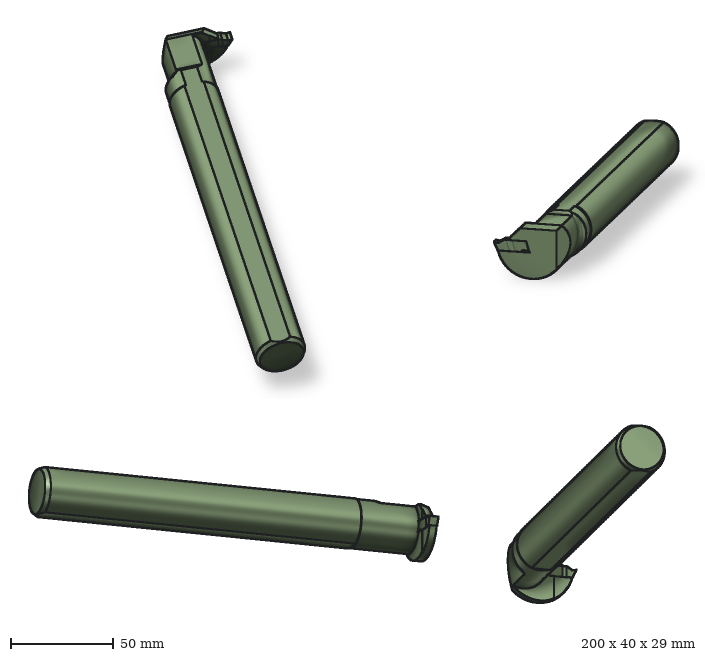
import cadquery as cq
import math

LENGTH = 200.0
WIDTH = 40.0

SHANK_RADIUS = 25.0 / 2
ACROSS_FLATS = 23.0
FLAT_HEIGHT = ACROSS_FLATS / 2
END_CHAMFER_LENGTH = 2.5
END_CHAMFER_DEPTH = 1.5

NECK_RADIUS = 12.2
NECK_END = 34.5
STEP_LENGTH = 0.5
NECK_TOP = 9.8
SHOULDER_START = 22.8
SHOULDER_END = 30.0
SHOULDER_FILLET = 3.0
SHOULDER_FILLET_ANGLE = 60
TOP_SLOPE_LENGTH = 2.2

FACE_X = 0.2
TIP_Y = WIDTH - SHANK_RADIUS
HEAD_RADIUS = 35.0 / 2
HEAD_SIDE_Y = -9.0
HEAD_CENTRE_Y = HEAD_SIDE_Y + HEAD_RADIUS
BLADE_THICKNESS = 4.5
THIN_BLADE_THICKNESS = 4.0
THIN_BLADE_START_Y = 16.0
BEVEL_LENGTH = 3.5
BEVEL_ANGLE = 30
SIDE_BEVEL_DEPTH = 4.8
SLOPE_TOP_Y = 12.5

INSERT_TOP = 1.5
INSERT_BOTTOM = -4.2
INSERT_WIDTH = 4.5
TIP_Z = 0.0
GROOVE_Y = 25.5
GROOVE_Z = -0.5
GROOVE_END_Y = 22.5
FRONT_BOTTOM_Y = HEAD_CENTRE_Y + math.sqrt(HEAD_RADIUS**2 - INSERT_BOTTOM**2)
INSERT_BACK_TOP_Y = 11.2
INSERT_BACK_BOTTOM_Y = 9.8
RELIEF_Z = -3.2
RELIEF_START_Y = 13.8
RELIEF_END_Y = 12.8
SEAT_BACK_Y = 9.5
FACE_RECESS = 0.3
BACK_WIDTH = 4.0
TAPER_START_Y = 21.2
TAPER_END_Y = 18.5
TAPER_LEAN = 1.8
BACK_TAPER_START_Y = 22.5
BACK_TAPER_END_Y = 20.5

CLEARANCE = 80.0


def cylinder_x(radius, x_start, x_end):
    return cq.Workplane("YZ", origin=(x_start, 0, 0)).circle(radius).extrude(x_end - x_start)


def make_bar():
    """Shank and neck turned in one profile, with a flat above and one below the shank."""
    bar = (
        cq.Workplane("XZ")
        .moveTo(0, 0)
        .lineTo(0, NECK_RADIUS)
        .lineTo(NECK_END, NECK_RADIUS)
        .lineTo(NECK_END + STEP_LENGTH, SHANK_RADIUS)
        .lineTo(LENGTH - END_CHAMFER_LENGTH, SHANK_RADIUS)
        .lineTo(LENGTH, SHANK_RADIUS - END_CHAMFER_DEPTH)
        .lineTo(LENGTH, 0)
        .close()
        .revolve(360, (0, 0, 0), (1, 0, 0))
    )
    bar_cover = 2 * LENGTH + CLEARANCE
    top_flat = cq.Workplane("XY").box(bar_cover, CLEARANCE, CLEARANCE, centered=(True, True, False))
    bottom_flat = cq.Workplane("XY").box(LENGTH, CLEARANCE, CLEARANCE, centered=(False, True, False))
    bar = bar.cut(top_flat.translate((0, 0, FLAT_HEIGHT)))
    return bar.cut(bottom_flat.translate((NECK_END, 0, -FLAT_HEIGHT - CLEARANCE)))


def side_limit():
    """Round of the head, filleted into a cone that rises clear of the bar."""
    angle = math.radians(SHOULDER_FILLET_ANGLE)
    fillet_x = SHOULDER_START + SHOULDER_FILLET * math.sin(angle)
    fillet_radius = HEAD_RADIUS + SHOULDER_FILLET * (1 - math.cos(angle))
    cone_end_radius = fillet_radius + (SHOULDER_END - fillet_x) * math.tan(angle)
    return (
        cq.Workplane("XZ", origin=(0, HEAD_CENTRE_Y, 0))
        .moveTo(FACE_X, 0)
        .lineTo(FACE_X, HEAD_RADIUS)
        .lineTo(SHOULDER_START, HEAD_RADIUS)
        .threePointArc(
            (
                SHOULDER_START + SHOULDER_FILLET * math.sin(angle / 2),
                HEAD_RADIUS + SHOULDER_FILLET * (1 - math.cos(angle / 2)),
            ),
            (fillet_x, fillet_radius),
        )
        .lineTo(SHOULDER_END, cone_end_radius)
        .lineTo(SHOULDER_END, 0)
        .close()
        .revolve(360, (0, 0, 0), (1, 0, 0))
    )


def top_limit():
    """Flat top of the head with a plain slope up to the flat of the bar."""
    slope = (FLAT_HEIGHT - NECK_TOP) / TOP_SLOPE_LENGTH
    end_height = NECK_TOP + (SHOULDER_END - SHOULDER_START) * slope
    return (
        cq.Workplane("XZ")
        .polyline(
            [
                (FACE_X, -CLEARANCE),
                (FACE_X, NECK_TOP),
                (SHOULDER_START, NECK_TOP),
                (SHOULDER_END, end_height),
                (SHOULDER_END, -CLEARANCE),
            ]
        )
        .close()
        .extrude(CLEARANCE, both=True)
    )


def shape_head(bar, plate):
    """Join the plate to the bar and trim both to the round and the top of the head."""
    front = bar.intersect(cylinder_x(CLEARANCE, 0, SHOULDER_END)).union(plate)
    rear = bar.intersect(cylinder_x(CLEARANCE, SHOULDER_END, LENGTH))
    return front.intersect(side_limit()).intersect(top_limit()).union(rear)


def make_plate():
    """Oversize blade plate with a 45 degree slope and a thinner outer end."""
    slope_drop = NECK_TOP - INSERT_TOP
    slope_bottom_y = SLOPE_TOP_Y + slope_drop
    plate = (
        cq.Workplane("YZ")
        .polyline(
            [
                (-CLEARANCE, -CLEARANCE),
                (-CLEARANCE, NECK_TOP),
                (SLOPE_TOP_Y, NECK_TOP),
                (slope_bottom_y, INSERT_TOP),
                (CLEARANCE, INSERT_TOP),
                (CLEARANCE, -CLEARANCE),
            ]
        )
        .close()
        .extrude(BLADE_THICKNESS)
    )
    thinning = cq.Workplane("XY").box(CLEARANCE, CLEARANCE, CLEARANCE, centered=(False, False, True))
    thinning = thinning.translate((THIN_BLADE_THICKNESS, THIN_BLADE_START_Y, 0))
    return plate.cut(thinning)


def top_bevel():
    """Wedge removed along the front edge of the flat top."""
    depth = BEVEL_LENGTH * math.tan(math.radians(BEVEL_ANGLE))
    return (
        cq.Workplane("XZ")
        .polyline([(FACE_X, NECK_TOP - depth), (FACE_X + BEVEL_LENGTH, NECK_TOP), (FACE_X, NECK_TOP)])
        .close()
        .extrude(CLEARANCE, both=True)
    )


def side_bevel():
    """Wedge removed from the front edge of the -Y side."""
    slope = math.tan(math.radians(BEVEL_ANGLE))
    inner_y = HEAD_SIDE_Y + SIDE_BEVEL_DEPTH
    reach = CLEARANCE * slope
    return (
        cq.Workplane("XY")
        .polyline([(FACE_X, inner_y), (FACE_X + CLEARANCE, inner_y - reach), (FACE_X, inner_y - reach)])
        .close()
        .extrude(CLEARANCE, both=True)
        .intersect(cylinder_x(CLEARANCE, 0, SHOULDER_START / 2))
    )


def insert_seat():
    """Slot through the blade, open at the outer end, with a relief gap below the back of the insert."""
    return (
        cq.Workplane("YZ")
        .polyline(
            [
                (INSERT_BACK_TOP_Y, INSERT_TOP),
                (INSERT_BACK_BOTTOM_Y, RELIEF_Z),
                (SEAT_BACK_Y, INSERT_BOTTOM),
                (CLEARANCE, INSERT_BOTTOM),
                (CLEARANCE, INSERT_TOP),
            ]
        )
        .close()
        .extrude(INSERT_WIDTH)
    )


def make_holder():
    holder = shape_head(make_bar(), make_plate())
    return holder.cut(top_bevel()).cut(side_bevel()).cut(insert_seat())


def make_insert():
    """Flat insert with a chip groove behind its edge and thinned faces behind its cutting end."""
    insert = (
        cq.Workplane("YZ")
        .polyline(
            [
                (TIP_Y, TIP_Z),
                (GROOVE_Y, GROOVE_Z),
                (GROOVE_END_Y, INSERT_TOP),
                (INSERT_BACK_TOP_Y, INSERT_TOP),
                (INSERT_BACK_BOTTOM_Y, RELIEF_Z),
                (RELIEF_END_Y, RELIEF_Z),
                (RELIEF_START_Y, INSERT_BOTTOM),
                (FRONT_BOTTOM_Y, INSERT_BOTTOM),
            ]
        )
        .close()
        .extrude(INSERT_WIDTH)
    )
    return insert.cut(front_thinning()).cut(back_thinning())


def front_thinning():
    """Leaning ramp on the front face, swept parallel to the insert's cutting end."""
    height = INSERT_TOP - INSERT_BOTTOM
    lean = cq.Vector(0, -TAPER_LEAN, -height)
    profile = cq.Wire.makePolygon(
        [
            cq.Vector(0, TAPER_START_Y, INSERT_TOP),
            cq.Vector(FACE_RECESS, TAPER_END_Y, INSERT_TOP),
            cq.Vector(FACE_RECESS, 0, INSERT_TOP),
            cq.Vector(0, 0, INSERT_TOP),
        ],
        close=True,
    )
    return cq.Workplane(cq.Solid.extrudeLinear(profile, [], lean))


def back_thinning():
    """Taper on the back face, down to the thinner rear part of the insert."""
    return (
        cq.Workplane("XY")
        .polyline(
            [
                (INSERT_WIDTH, BACK_TAPER_START_Y),
                (BACK_WIDTH, BACK_TAPER_END_Y),
                (BACK_WIDTH, 0),
                (INSERT_WIDTH, 0),
            ]
        )
        .close()
        .extrude(CLEARANCE, both=True)
    )


holder = make_holder()
insert = make_insert()
result = cq.Compound.makeCompound([holder.val(), insert.val()])